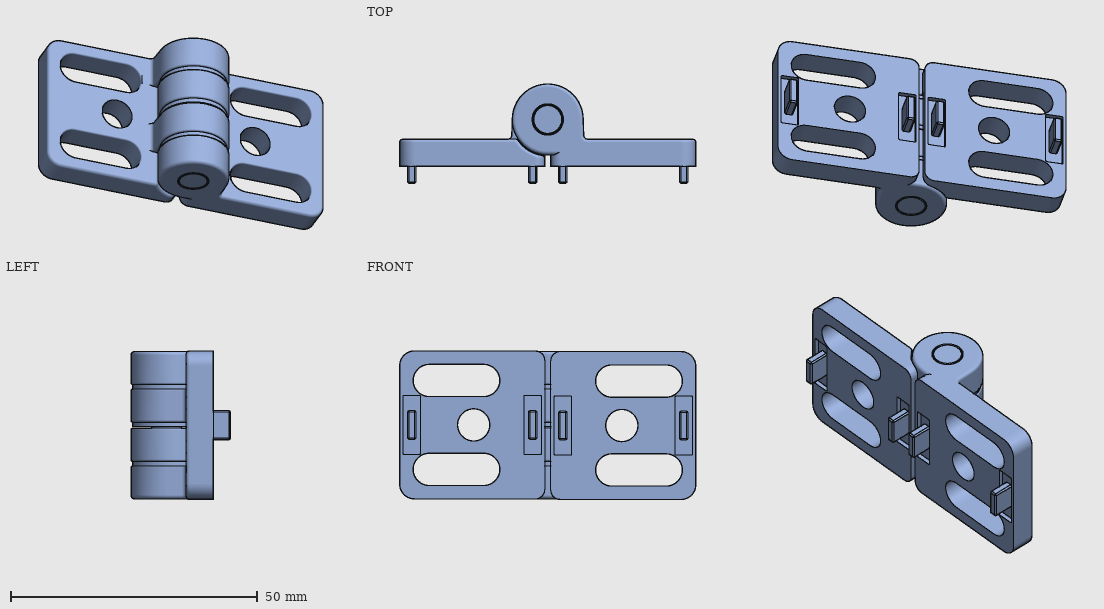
import cadquery as cq
import math


leaf_height = 30.0
leaf_shift = 0.05
leaf_reach = 30.0
leaf_gap = 1.2
plate_thickness = 5.5
axis_height = 9.5
outer_corner_radius = 3.0
inner_corner_radius = 2.0
edge_round = 0.7

slot_length = 17.55
slot_width = 6.5
slot_center_x = 18.5
slot_offset_z = 9.0
slot_rear_round = 0.35
hole_diameter = 6.5
hole_center_x = 15.0

recess_width = 3.6
recess_height = 12.0
recess_depth = 0.95
recess_corner_radius = 0.3
tab_width = 1.75
tab_height = 5.9
tab_projection = 3.5
tab_chamfer = 0.3
tab_edge_distance = 2.45

knuckle_radius = 7.2
knuckle_length = 6.7
middle_gap = 1.2
knuckle_draft = 2.0
knuckle_root_radius = 0.8
knuckle_inner_round = 0.35
foot_reach = 9.6
relief_radius = 7.4
washer_radius = 6.85
washer_thickness = 0.9
pin_diameter = 6.0
pin_edge_chamfer = 0.2

mount_y = -axis_height
rear_y = mount_y + plate_thickness
plate_inner_x = leaf_gap / 2
plate_width = leaf_reach - plate_inner_x
leaf_center_z = -leaf_shift
leaf_top_z = leaf_center_z + leaf_height / 2
end_knuckle_bottom_z = leaf_top_z - knuckle_length
inner_knuckle_bottom_z = -middle_gap / 2 - knuckle_length
tab_centers_x = (plate_inner_x + tab_edge_distance, leaf_reach - tab_edge_distance)
plate_center_x = plate_inner_x + plate_width / 2


def mount_sketch():
    """Workplane on the mounting face, local axes along X and Z, normal toward -Y."""
    return cq.Workplane("XZ", origin=(0, mount_y, leaf_center_z))


def make_slots():
    return (
        mount_sketch()
        .pushPoints([(slot_center_x, slot_offset_z), (slot_center_x, -slot_offset_z)])
        .slot2D(slot_length, slot_width)
        .extrude(-plate_thickness)
    )


def make_mounting_hole():
    return mount_sketch().center(hole_center_x, 0).circle(hole_diameter / 2).extrude(-plate_thickness)


def make_plate():
    """Slotted plate with rounded corners and rear edges, relieved where the other leaf's knuckles turn."""
    plate = (
        cq.Workplane("XY")
        .box(plate_width, plate_thickness, leaf_height)
        .translate((plate_center_x, mount_y + plate_thickness / 2, leaf_center_z))
        .edges("|Y and >X").fillet(outer_corner_radius)
        .edges("|Y and <X").fillet(inner_corner_radius)
        .faces(">Y").edges().fillet(edge_round)
    )
    plate = plate.cut(make_slots())
    slot_rims = plate.faces(">Y").val().innerWires()
    plate = plate.newObject([edge for rim in slot_rims for edge in rim.Edges()]).fillet(slot_rear_round)
    relief = (
        cq.Workplane("XY", origin=(0, 0, end_knuckle_bottom_z))
        .circle(relief_radius)
        .extrude(-leaf_height)
    )
    return plate.cut(relief).faces("<Z").edges("%CIRCLE").fillet(edge_round)


def make_knuckle(bottom_z, lower_round, upper_round):
    """Barrel with a drafted rear flank and a foot that merges into the plate."""
    draft = math.radians(knuckle_draft)
    tangent_point = (knuckle_radius * math.cos(draft), knuckle_radius * math.sin(draft))
    flank_run = tangent_point[1] - rear_y
    flank_foot_x = tangent_point[0] + flank_run * math.tan(draft)
    knuckle = (
        cq.Workplane("XY", origin=(0, 0, bottom_z))
        .moveTo(0, -knuckle_radius)
        .threePointArc((-knuckle_radius, 0), (0, knuckle_radius))
        .threePointArc((knuckle_radius * math.sqrt(0.5), knuckle_radius * math.sqrt(0.5)), tangent_point)
        .lineTo(flank_foot_x, rear_y)
        .lineTo(foot_reach, rear_y)
        .lineTo(foot_reach, -knuckle_radius)
        .close()
        .extrude(knuckle_length)
    )
    root_point = (flank_foot_x, rear_y, bottom_z + knuckle_length / 2)
    knuckle = knuckle.edges(cq.selectors.NearestToPointSelector(root_point)).fillet(knuckle_root_radius)
    return knuckle.faces("<Z").edges().fillet(lower_round).faces(">Z").edges().fillet(upper_round)


def make_tab_recesses():
    return (
        mount_sketch()
        .pushPoints([(x, 0) for x in tab_centers_x])
        .rect(recess_width, recess_height)
        .extrude(-recess_depth)
        .edges("|Y").fillet(recess_corner_radius)
    )


def make_tabs():
    return (
        mount_sketch()
        .workplane(offset=-recess_depth)
        .pushPoints([(x, 0) for x in tab_centers_x])
        .rect(tab_width, tab_height)
        .extrude(recess_depth + tab_projection)
        .edges("|Y or <Y").chamfer(tab_chamfer)
    )


def make_leaf():
    end_knuckle = make_knuckle(end_knuckle_bottom_z, knuckle_inner_round, edge_round)
    inner_knuckle = make_knuckle(inner_knuckle_bottom_z, knuckle_inner_round, knuckle_inner_round)
    pin_bore = cq.Workplane("XY").circle(pin_diameter / 2).extrude(leaf_height, both=True)
    bore_mouth = (
        cq.Workplane("XY", origin=(0, 0, leaf_top_z))
        .circle(pin_diameter / 2 + pin_edge_chamfer)
        .workplane(offset=-pin_edge_chamfer)
        .circle(pin_diameter / 2)
        .loft(ruled=True)
    )
    return (
        make_plate()
        .union(end_knuckle)
        .union(inner_knuckle)
        .cut(pin_bore)
        .cut(bore_mouth)
        .cut(make_mounting_hole())
        .cut(make_tab_recesses())
        .union(make_tabs())
    )


def make_pin():
    return (
        cq.Workplane("XY")
        .circle(pin_diameter / 2)
        .extrude(leaf_top_z, both=True)
        .faces("<Z or >Z").edges().chamfer(pin_edge_chamfer)
    )


def make_washer(bottom_z):
    return (
        cq.Workplane("XY", origin=(0, 0, bottom_z))
        .circle(washer_radius)
        .circle(pin_diameter / 2)
        .extrude(washer_thickness)
    )


right_leaf = make_leaf()
left_leaf = right_leaf.rotate((0, 0, 0), (0, 1, 0), 180)
pin = make_pin()

washer_tops_z = (end_knuckle_bottom_z, middle_gap / 2, inner_knuckle_bottom_z)
washers = [make_washer(top_z - washer_thickness) for top_z in washer_tops_z]

result = cq.Compound.makeCompound(
    [right_leaf.val(), left_leaf.val(), pin.val(), *[washer.val() for washer in washers]]
)